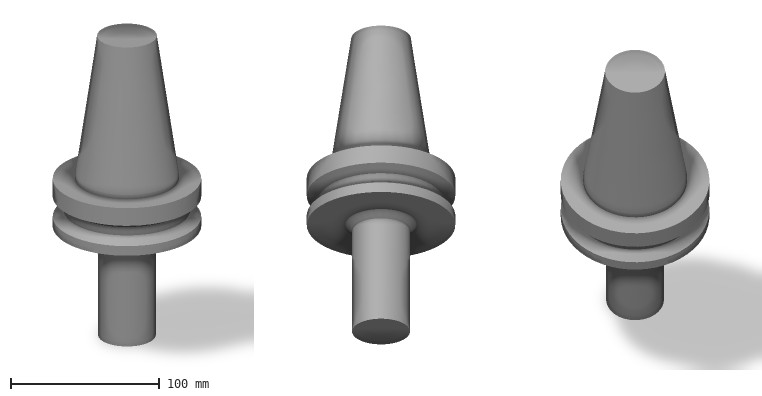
import cadquery as cq

shank_diameter = 39.0
collar_diameter = 48.4
flange_diameter = 100.0
groove_diameter = 85.0
gauge_diameter = 70.0

total_height = 219.8
shank_top = 75.5
flange_bottom = 80.0
lower_rim_top = 87.0
groove_floor_bottom = 91.7
groove_floor_top = 97.8
upper_rim_bottom = 102.0
flange_top = 115.0
gauge_line = 118.0

taper_rate = 7 / 24
taper_end_diameter = gauge_diameter - taper_rate * (total_height - gauge_line)


def revolve_profile(stations):
    """Solid of revolution about Z through (diameter, height) stations, bottom to top."""
    outline = [(diameter / 2, height) for diameter, height in stations]
    bottom_center = (0, stations[0][1])
    top_center = (0, stations[-1][1])
    profile = cq.Workplane("XZ").polyline([bottom_center, *outline, top_center]).close()
    return profile.revolve(360, (0, 0), (0, 1))


shank_stations = [
    (shank_diameter, 0),
    (shank_diameter, shank_top),
    (collar_diameter, flange_bottom),
]

flange_stations = [
    (flange_diameter, flange_bottom),
    (flange_diameter, lower_rim_top),
    (groove_diameter, groove_floor_bottom),
    (groove_diameter, groove_floor_top),
    (flange_diameter, upper_rim_bottom),
    (flange_diameter, flange_top),
]

taper_stations = [
    (gauge_diameter, flange_top),
    (gauge_diameter, gauge_line),
    (taper_end_diameter, total_height),
]

result = revolve_profile(shank_stations + flange_stations + taper_stations)